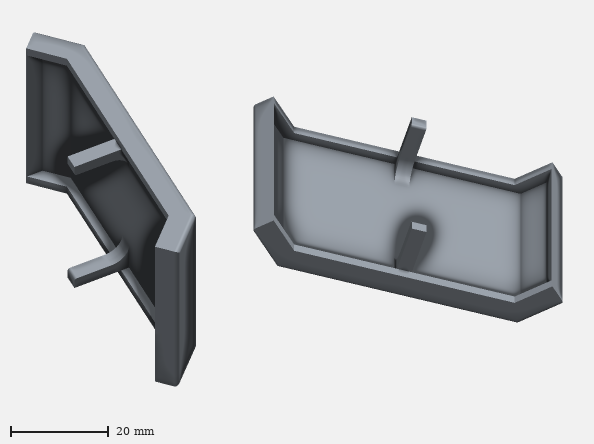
import cadquery as cq
import math

LENGTH = 65.9
HEIGHT = 42.5
DEPTH = 15.8
THICKNESS = 5.15
BEND_ANGLE = math.radians(45)
BACK_EDGE_RADIUS = 1.0

RIM = 2.2
POCKET_HALF_LENGTH = 29.6
POCKET_DEPTH = 1.8

PEG_WIDTH = 3.15
PEG_HEIGHT = 2.8
PEG_ROOT_RADIUS = 3.95
PEG_TIP_RADIUS = 0.6

back_bend_x = 25.65
front_bend_x = back_bend_x - THICKNESS * math.tan(BEND_ANGLE / 2)
wing_tip_x = LENGTH / 2 + BACK_EDGE_RADIUS * (math.sqrt(2) - 1)
wing_tip_y = -(wing_tip_x - back_bend_x) * math.tan(BEND_ANGLE)
wing_end_x = wing_tip_x - THICKNESS * math.sin(BEND_ANGLE)
wing_end_y = wing_tip_y - THICKNESS * math.cos(BEND_ANGLE)

pocket_floor_y = POCKET_DEPTH - THICKNESS
floor_bend_x = front_bend_x + POCKET_DEPTH * math.tan(BEND_ANGLE)
pocket_end_y = pocket_floor_y - (POCKET_HALF_LENGTH - floor_bend_x) * math.tan(BEND_ANGLE)


def symmetric_prism(right_side, height):
    """Mirror an outline's right side about x = 0 and extrude it evenly about z = 0."""
    left_side = [(-x, y) for x, y in reversed(right_side)]
    outline = cq.Workplane("XY").polyline(right_side + left_side).close()
    return outline.extrude(height / 2, both=True)


def make_plate():
    plate = symmetric_prism(
        [
            (back_bend_x, 0),
            (wing_tip_x, wing_tip_y),
            (wing_end_x, wing_end_y),
            (front_bend_x, -THICKNESS),
        ],
        HEIGHT,
    )
    back_limit_y = (wing_tip_y / 2 - THICKNESS) / 2
    back_half = cq.selectors.BoxSelector((-LENGTH, back_limit_y, -HEIGHT), (LENGTH, DEPTH, HEIGHT))
    back_long_edges = plate.faces("|Z").edges(back_half)
    tip_edges = plate.edges("|Z").edges("<X or >X")
    return plate.newObject(back_long_edges.vals() + tip_edges.vals()).fillet(BACK_EDGE_RADIUS)


def make_pocket():
    return symmetric_prism(
        [
            (floor_bend_x, pocket_floor_y),
            (POCKET_HALF_LENGTH, pocket_end_y),
            (POCKET_HALF_LENGTH, -DEPTH),
        ],
        HEIGHT - 2 * RIM,
    )


def make_upper_peg():
    """Peg against the upper rim, flared into the pocket floor and rounded at its tip."""
    buried_y = -THICKNESS / 2
    outer_z = HEIGHT / 2 - RIM
    inner_z = outer_z - PEG_HEIGHT
    root_y = pocket_floor_y - PEG_ROOT_RADIUS
    root_z = inner_z - PEG_ROOT_RADIUS
    arc_inset = PEG_ROOT_RADIUS * (1 - math.sqrt(0.5))
    tip_inset = PEG_TIP_RADIUS * (1 - math.sqrt(0.5))
    side = (
        cq.Workplane("YZ")
        .moveTo(buried_y, outer_z)
        .lineTo(-DEPTH, outer_z)
        .lineTo(-DEPTH, inner_z + PEG_TIP_RADIUS)
        .threePointArc((-DEPTH + tip_inset, inner_z + tip_inset), (-DEPTH + PEG_TIP_RADIUS, inner_z))
        .lineTo(root_y, inner_z)
        .threePointArc((pocket_floor_y - arc_inset, inner_z - arc_inset), (pocket_floor_y, root_z))
        .lineTo(buried_y, root_z)
        .close()
    )
    return side.extrude(PEG_WIDTH / 2, both=True)


upper_peg = make_upper_peg()
lower_peg = upper_peg.mirror("XY")
result = make_plate().cut(make_pocket()).union(upper_peg).union(lower_peg)